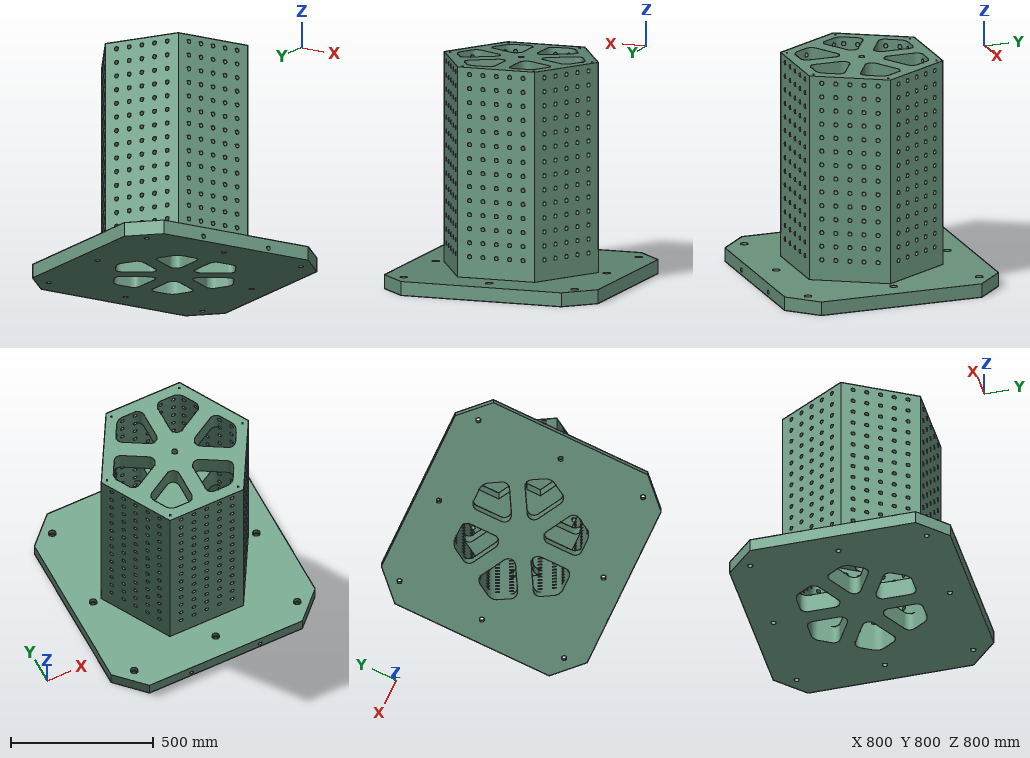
import cadquery as cq
import math

total_height = 800.0
sides = 6
side_angle = 360.0 / sides
drill_tip_angle = 118.0

base_size = 800.0
base_thickness = 50.0
corner_cut = base_size / 8
bolt_pitch = 320.0
bolt_diameter = 18.0
bolt_head_diameter = 26.0
bolt_head_depth = 18.0
lift_hole_spacing = 270.0
lift_hole_height = 18.0
lift_hole_diameter = 14.0
lift_hole_depth = 40.0

hole_diameter = 14.0
hole_depth = 50.0
hole_pitch = base_thickness
hole_columns = 5
hole_rows = 14
top_row_offset = hole_pitch / 2
center_hole_diameter = 21.0
center_hole_depth = 40.0
pin_hole_diameter = 5.0
pin_hole_depth = 16.0
pin_circle_radius = 266.0

tower_width = 500.0
wall_thickness = 40.0
end_web_thickness = 1.5 * hole_pitch
middle_web_thickness = 100.0
middle_hub_apothem = 101.0
spoke_width = 55.0
cavity_corner_radius = 40.0
spoke_root_radius = 25.0
hub_corner_radius = 25.0

tower_apothem = tower_width / 2
cavity_apothem = tower_apothem - wall_thickness
chamber_height = (total_height - 2 * end_web_thickness - middle_web_thickness) / 2


def hexagon_prism(apothem, bottom, height):
    """Hexagonal prism with two corners on the X axis."""
    corner_diameter = 2 * apothem / math.cos(math.pi / sides)
    return cq.Workplane("XY").workplane(offset=bottom).polygon(sides, corner_diameter).extrude(height)


def drill(diameter, depth):
    """Drilled hole with a conical end, running from the origin toward -Z."""
    radius = diameter / 2
    tip = radius / math.tan(math.radians(drill_tip_angle / 2))
    profile = [(0, 0), (radius, 0), (radius, -depth), (0, -depth - tip)]
    return cq.Workplane("XZ").polyline(profile).close().revolve(360, (0, 0), (0, 1)).val()


def make_base():
    plate = cq.Workplane("XY").rect(base_size, base_size).extrude(base_thickness)
    return plate.edges("|Z").chamfer(corner_cut)


def spoke_windows(bottom, height):
    """Six rounded windows between the spokes of a web."""
    edge_angle = math.radians(side_angle / 2)
    apex = spoke_width / 2 / math.sin(edge_angle)
    reach = math.hypot(cavity_apothem, spoke_width / 2)
    spread = edge_angle - math.atan2(spoke_width / 2, cavity_apothem)
    side_x = reach * math.cos(spread)
    side_y = reach * math.sin(spread)
    outer_corner = cavity_apothem / math.cos(edge_angle)
    outline = [(apex, 0), (side_x, -side_y), (outer_corner, 0), (side_x, side_y)]
    window = cq.Workplane("XY").workplane(offset=bottom).polyline(outline).close().extrude(height)
    window = window.edges("|Z and <X").fillet(hub_corner_radius)
    window = window.edges("|Z and >X").fillet(cavity_corner_radius)
    window = window.edges("|Z and (>Y or <Y)").fillet(spoke_root_radius)
    turned = [window.rotate((0, 0, 0), (0, 0, 1), index * side_angle).val() for index in range(sides)]
    return cq.Workplane(cq.Compound.makeCompound(turned))


def hollow_out(body):
    """Two open chambers, with a spoked web above, between and below them."""
    middle_bottom = end_web_thickness + chamber_height
    middle_top = middle_bottom + middle_web_thickness
    for bottom in (end_web_thickness, middle_top):
        chamber = hexagon_prism(cavity_apothem, bottom, chamber_height)
        body = body.cut(chamber.edges("|Z").fillet(cavity_corner_radius))
    hub = hexagon_prism(middle_hub_apothem, middle_bottom, middle_web_thickness)
    hub = hub.rotate((0, 0, 0), (0, 0, 1), side_angle / 2)
    body = body.cut(spoke_windows(middle_bottom, middle_web_thickness).cut(hub))
    for bottom in (0, total_height - end_web_thickness):
        body = body.cut(spoke_windows(bottom, end_web_thickness))
    return body


def face_holes():
    """Grid of drilled holes on each of the six tower faces."""
    hole = drill(hole_diameter, hole_depth)
    grid_height = (hole_rows - 1) * hole_pitch
    grid_middle = total_height - top_row_offset - grid_height / 2
    cutters = []
    for index in range(sides):
        angle = math.radians((index + 0.5) * side_angle)
        normal = (math.cos(angle), math.sin(angle), 0)
        origin = (tower_apothem * normal[0], tower_apothem * normal[1], grid_middle)
        along_face = (-normal[1], normal[0], 0)
        plane = cq.Plane(origin=origin, xDir=along_face, normal=normal)
        grid = cq.Workplane(plane).rarray(hole_pitch, hole_pitch, hole_columns, hole_rows)
        cutters += grid.eachpoint(hole, useLocalCoordinates=True).vals()
    return cq.Workplane(cq.Compound.makeCompound(cutters))


def drill_top(body):
    """Center hole and a pin hole near each corner of the top face."""
    top = cq.Workplane("XY").workplane(offset=total_height)
    center_hole = drill(center_hole_diameter, center_hole_depth)
    pin_hole = drill(pin_hole_diameter, pin_hole_depth)
    body = body.cut(top.eachpoint(center_hole, useLocalCoordinates=True))
    pins = top.polarArray(pin_circle_radius, 0, 360, sides)
    return body.cut(pins.eachpoint(pin_hole, useLocalCoordinates=True))


def drill_base(body):
    """Counterbored bolt holes around the tower and two lifting holes in the front side."""
    positions = [
        (column * bolt_pitch, row * bolt_pitch)
        for column in (-1, 0, 1)
        for row in (-1, 0, 1)
        if (column, row) != (0, 0)
    ]
    plate_top = cq.Workplane("XY").workplane(offset=base_thickness).pushPoints(positions)
    bolts = plate_top.circle(bolt_diameter / 2).extrude(-base_thickness)
    heads = plate_top.circle(bolt_head_diameter / 2).extrude(-bolt_head_depth)
    lift_hole = drill(lift_hole_diameter, lift_hole_depth)
    front = cq.Workplane("XZ", origin=(0, -base_size / 2, lift_hole_height))
    lift_grid = front.rarray(lift_hole_spacing, 8, 2, 1)
    lift_holes = lift_grid.eachpoint(lift_hole, useLocalCoordinates=True)
    return body.cut(bolts).cut(heads).cut(lift_holes)


tower = hexagon_prism(tower_apothem, base_thickness, total_height - base_thickness)
result = hollow_out(make_base().union(tower))
result = result.cut(face_holes())
result = drill_top(result)
result = drill_base(result)